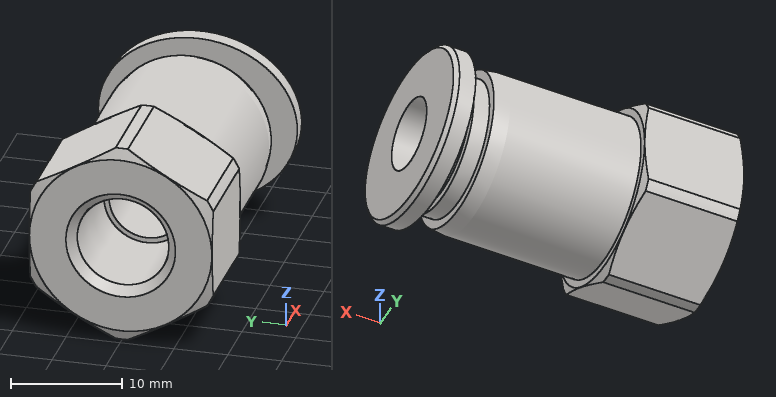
import cadquery as cq

TOTAL_LENGTH = 29.4

HEX_ACROSS_FLATS = 17.0
HEX_ACROSS_CORNERS = 19.0
HEX_LENGTH = 10.0
HEX_FACE_DIAMETER = 16.93
HEX_CHAMFER_LENGTH = 0.38

BODY_DIAMETER = 15.5
TAPER_START = 23.15
TAPER_END = 24.67
TAPER_END_DIAMETER = 15.05
SHOULDER_DIAMETER = 13.3
SHOULDER_END = 26.25
NECK_DIAMETER = 11.7

COLLAR_WIDTH = 18.5
COLLAR_HEIGHT = 16.05
COLLAR_THICKNESS = 2.03
COLLAR_CHAMFER = 0.4

COUNTERSINK_DIAMETER = 10.17
THREAD_DIAMETER = 8.5
THREAD_END_DIAMETER = 7.97
THREAD_TAPER = 1 / 16
PASSAGE_DIAMETER = 7.0


def revolve_about_x(profile):
    """Revolve a closed outline of (x, radius) points around the X axis."""
    outline = cq.Workplane("XY").polyline(profile).close()
    return outline.revolve(360, (0, 0, 0), (1, 0, 0))


def make_hexagon():
    """Hexagonal prism with two flats facing +Y and -Y, corners turned and chamfered."""
    corner_radius = HEX_ACROSS_CORNERS / 2
    face_radius = HEX_FACE_DIAMETER / 2
    prism = (
        cq.Workplane("YZ")
        .polygon(6, HEX_ACROSS_FLATS, circumscribed=True)
        .extrude(HEX_LENGTH)
    )
    turned_envelope = revolve_about_x([
        (0, 0),
        (0, face_radius),
        (HEX_CHAMFER_LENGTH, corner_radius),
        (HEX_LENGTH - HEX_CHAMFER_LENGTH, corner_radius),
        (HEX_LENGTH, face_radius),
        (HEX_LENGTH, 0),
    ])
    return prism.intersect(turned_envelope)


def make_body():
    """Turned body running through the hexagon and up to the collar."""
    collar_start = TOTAL_LENGTH - COLLAR_THICKNESS
    return revolve_about_x([
        (0, 0),
        (0, BODY_DIAMETER / 2),
        (TAPER_START, BODY_DIAMETER / 2),
        (TAPER_END, TAPER_END_DIAMETER / 2),
        (TAPER_END, SHOULDER_DIAMETER / 2),
        (SHOULDER_END, SHOULDER_DIAMETER / 2),
        (SHOULDER_END, NECK_DIAMETER / 2),
        (collar_start, NECK_DIAMETER / 2),
        (collar_start, 0),
    ])


def make_collar():
    """Oval collar with its outer edge chamfered."""
    return (
        cq.Workplane("YZ")
        .workplane(offset=TOTAL_LENGTH - COLLAR_THICKNESS)
        .ellipse(COLLAR_WIDTH / 2, COLLAR_HEIGHT / 2)
        .extrude(COLLAR_THICKNESS)
        .faces(">X")
        .chamfer(COLLAR_CHAMFER)
    )


def make_bore():
    """Space removed by the countersink, the tapered thread hole and the through passage."""
    countersink_depth = (COUNTERSINK_DIAMETER - THREAD_DIAMETER) / 2
    thread_length = (THREAD_DIAMETER - THREAD_END_DIAMETER) / THREAD_TAPER
    thread_end = countersink_depth + thread_length
    return revolve_about_x([
        (0, 0),
        (0, COUNTERSINK_DIAMETER / 2),
        (countersink_depth, THREAD_DIAMETER / 2),
        (thread_end, THREAD_END_DIAMETER / 2),
        (thread_end, PASSAGE_DIAMETER / 2),
        (TOTAL_LENGTH, PASSAGE_DIAMETER / 2),
        (TOTAL_LENGTH, 0),
    ])


result = make_hexagon().union(make_body()).union(make_collar()).cut(make_bore())